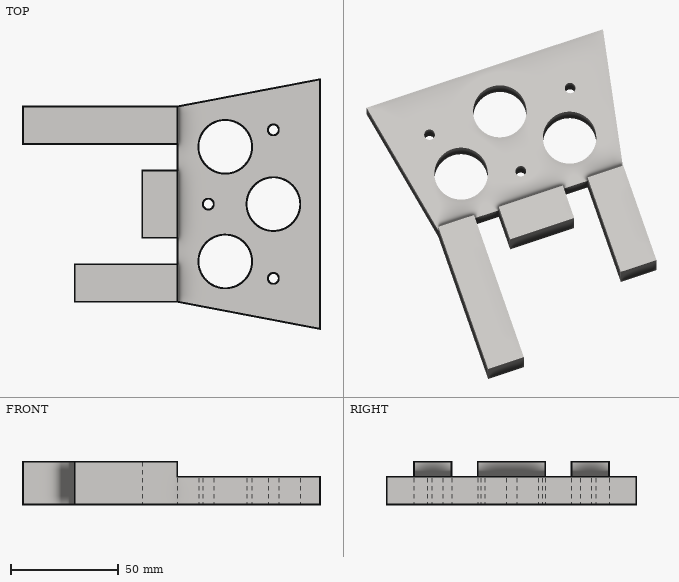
import cadquery as cq

total_length = 138.5
total_height = 20.0

plate_length = 66.5
plate_thickness = 13.0
plate_wide_end = 116.5
plate_narrow_end = 91.1
plate_start = total_length - plate_length

arm_width = 17.6
long_arm_length = plate_start
short_arm_length = 47.9
arm_offset = (plate_narrow_end - arm_width) / 2
center_block_length = 16.5
center_block_width = 31.6

large_hole_diameter = 24.9
large_center_x = 116.8
large_side_x = 94.3
large_side_y = 26.7

small_hole_diameter = 5.0
small_center_x = 86.4
small_side_x = large_center_x
small_side_y = 34.6


def projecting_block(length, width, center_y):
    """Full-height block reaching in -X from the narrow end of the plate."""
    return (
        cq.Workplane("XY")
        .box(length, width, total_height, centered=(False, True, False))
        .translate((plate_start - length, center_y, 0))
    )


def hole_cutters(diameter, center_x, side_x, side_y):
    """Through-hole cylinders in a triangle symmetric about Y = 0."""
    return (
        cq.Workplane("XY")
        .pushPoints([(center_x, 0), (side_x, side_y), (side_x, -side_y)])
        .circle(diameter / 2)
        .extrude(plate_thickness)
    )


plate = (
    cq.Workplane("XY")
    .polyline([
        (plate_start, -plate_narrow_end / 2),
        (total_length, -plate_wide_end / 2),
        (total_length, plate_wide_end / 2),
        (plate_start, plate_narrow_end / 2),
    ])
    .close()
    .extrude(plate_thickness)
)
plate = plate.cut(hole_cutters(large_hole_diameter, large_center_x, large_side_x, large_side_y))
plate = plate.cut(hole_cutters(small_hole_diameter, small_center_x, small_side_x, small_side_y))

result = (
    plate
    .union(projecting_block(long_arm_length, arm_width, arm_offset))
    .union(projecting_block(short_arm_length, arm_width, -arm_offset))
    .union(projecting_block(center_block_length, center_block_width, 0))
)